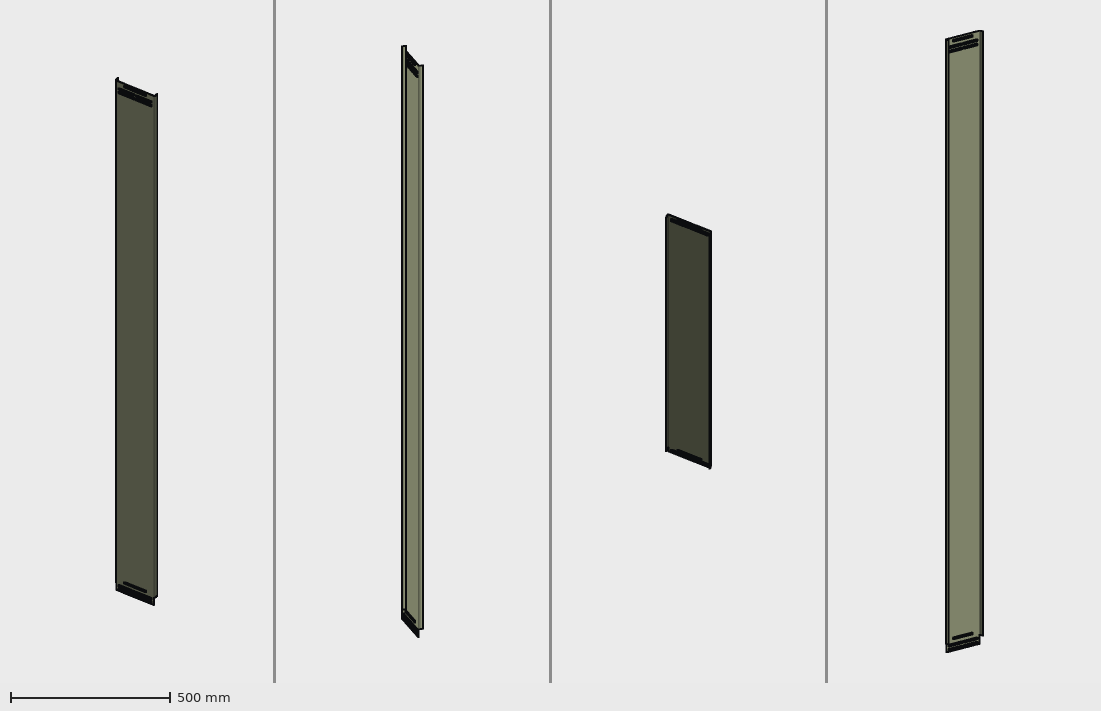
import cadquery as cq

width = 150.0
depth = 15.0
length = 2000.0
sheet = 1.5
bend_radius = 3.0

tongue_length = 29.0
tongue_side_relief = 0.5
tongue_width = width - 2 * (bend_radius + tongue_side_relief)

wide_slot_length = 84.0
wide_slot_height = 6.0
wide_slot_inset = 11.0

pair_slot_length = 61.0
pair_slot_height = 6.0
pair_slot_gap = 4.0
row_count = 2
row_pitch = 14.0
upper_row_inset = 29.0
lower_row_inset = 6.0


def make_channel():
    """U-shaped bent sheet, from the top of the tongue to the top edge."""
    inner_radius = bend_radius - sheet
    half_width = width / 2
    profile = (
        cq.Workplane("XY", origin=(0, 0, tongue_length))
        .moveTo(-half_width, depth)
        .lineTo(-half_width, bend_radius)
        .radiusArc((-half_width + bend_radius, 0), -bend_radius)
        .lineTo(half_width - bend_radius, 0)
        .radiusArc((half_width, bend_radius), -bend_radius)
        .lineTo(half_width, depth)
        .lineTo(half_width - sheet, depth)
        .lineTo(half_width - sheet, bend_radius)
        .radiusArc((half_width - bend_radius, sheet), inner_radius)
        .lineTo(-half_width + bend_radius, sheet)
        .radiusArc((-half_width + sheet, bend_radius), inner_radius)
        .lineTo(-half_width + sheet, depth)
        .close()
    )
    return profile.extrude(length - tongue_length)


def make_tongue():
    """Flat strip that continues the web down to the bottom edge."""
    return cq.Workplane("XY").box(tongue_width, sheet, tongue_length, centered=(True, False, False))


def slot_cutter(centers, slot_length, slot_height):
    """Round-ended horizontal slots through the web at the given (x, z) centers."""
    return (
        cq.Workplane("XZ")
        .pushPoints(centers)
        .slot2D(slot_length, slot_height)
        .extrude(2 * sheet, both=True)
    )


def wide_slots():
    heights = (tongue_length + wide_slot_inset, length - wide_slot_inset)
    return slot_cutter([(0, z) for z in heights], wide_slot_length, wide_slot_height)


def paired_slots():
    half_pitch = (pair_slot_length + pair_slot_gap) / 2
    centers = []
    for row in range(row_count):
        for side in (-1, 1):
            x = side * half_pitch
            centers.append((x, lower_row_inset + row * row_pitch))
            centers.append((x, length - upper_row_inset - row * row_pitch))
    return slot_cutter(centers, pair_slot_length, pair_slot_height)


result = make_channel().union(make_tongue()).cut(wide_slots()).cut(paired_slots())